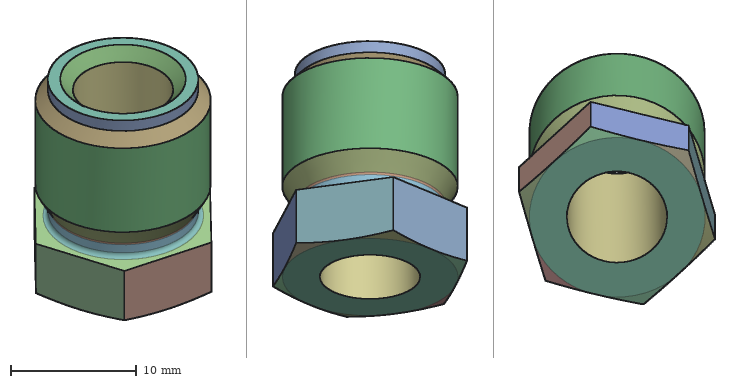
import cadquery as cq
import math

total_height = 18.0
body_diameter = 14.0
neck_diameter = 12.0
bore_diameter = 8.0
hex_height = 5.0
shoulder_top = 8.0
body_top = 16.0
spigot_bottom = 17.0
bore_chamfer = 1.0
neck_fillet = 0.4
shoulder_angle = 30.0
hex_chamfer_angle = 15.0

body_radius = body_diameter / 2
neck_radius = neck_diameter / 2
corner_radius = body_radius / math.cos(math.radians(30))
shoulder_height = (body_radius - neck_radius) / math.tan(math.radians(shoulder_angle))
shoulder_bottom = shoulder_top - shoulder_height


def make_hex():
    """Hexagon with corners on Y and a conical chamfer on its bottom face."""
    prism = (
        cq.Workplane("XY")
        .polygon(6, 2 * corner_radius)
        .extrude(hex_height)
        .rotate((0, 0, 0), (0, 0, 1), 30)
    )
    cone_radius = 2 * corner_radius
    cone_rise = (cone_radius - body_radius) * math.tan(math.radians(hex_chamfer_angle))
    envelope = (
        cq.Workplane("XZ")
        .polyline([
            (0, 0),
            (body_radius, 0),
            (cone_radius, cone_rise),
            (cone_radius, hex_height),
            (0, hex_height),
        ])
        .close()
        .revolve(360, (0, 0), (0, 1))
    )
    return prism.intersect(envelope)


def make_body():
    """Turned body above the hexagon, with filleted undercut and stepped top."""
    tangent = neck_fillet * math.tan(math.radians(shoulder_angle / 2))
    cone_start_radius = neck_radius + tangent * math.sin(math.radians(shoulder_angle))
    cone_start = shoulder_bottom + tangent * math.cos(math.radians(shoulder_angle))
    return (
        cq.Workplane("XZ")
        .moveTo(0, hex_height)
        .lineTo(neck_radius + neck_fillet, hex_height)
        .radiusArc((neck_radius, hex_height + neck_fillet), neck_fillet)
        .lineTo(neck_radius, shoulder_bottom - tangent)
        .radiusArc((cone_start_radius, cone_start), neck_fillet)
        .lineTo(body_radius, shoulder_top)
        .lineTo(body_radius, body_top)
        .lineTo(neck_radius, spigot_bottom)
        .lineTo(neck_radius, total_height)
        .lineTo(0, total_height)
        .close()
        .revolve(360, (0, 0), (0, 1))
    )


def make_bore():
    """Through bore with a conical chamfer at the top."""
    bore_radius = bore_diameter / 2
    return (
        cq.Workplane("XZ")
        .polyline([
            (0, 0),
            (bore_radius, 0),
            (bore_radius, total_height - bore_chamfer),
            (bore_radius + bore_chamfer, total_height),
            (0, total_height),
        ])
        .close()
        .revolve(360, (0, 0), (0, 1))
    )


result = make_hex().union(make_body()).cut(make_bore())